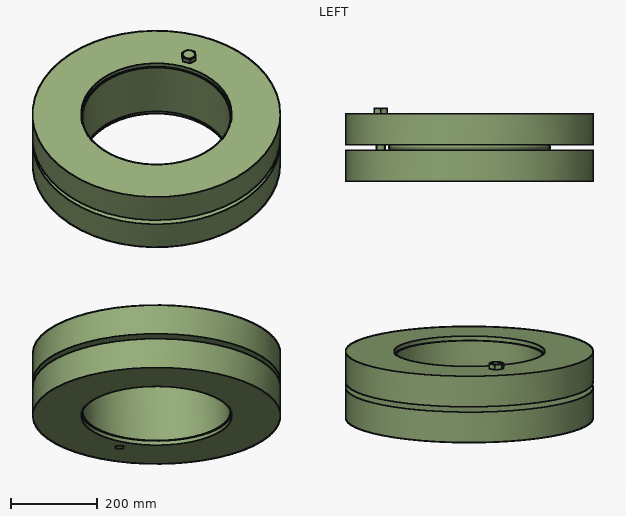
import cadquery as cq
import math

flange_diameter = 570.0
flange_thickness = 72.0
flange_gap = 12.5
flange_bore = 346.5

seal_bore = 340.0
seal_end_recess = 10.0
bead_diameter = 370.5
bead_section_diameter = 22.0

bolt_offset = 204.0
shank_diameter = 20.0
head_across_flats = 30.0
head_height = 12.5
head_top_diameter = 28.0
head_chamfer_angle = 30.0

upper_flange_base = flange_thickness + flange_gap
flange_stack_height = upper_flange_base + flange_thickness
gap_middle = flange_stack_height / 2


def make_seal():
    """Sleeve and bead, revolved as one solid of revolution."""
    sleeve = (
        cq.Workplane("XY")
        .workplane(offset=seal_end_recess)
        .circle(flange_bore / 2)
        .extrude(flange_stack_height - 2 * seal_end_recess)
    )
    bead_center_radius = (bead_diameter - bead_section_diameter) / 2
    bead = (
        cq.Workplane("XZ")
        .center(bead_center_radius, gap_middle)
        .circle(bead_section_diameter / 2)
        .revolve(360, (-bead_center_radius, 0), (-bead_center_radius, 1))
    )
    bore = cq.Workplane("XY").circle(seal_bore / 2).extrude(flange_stack_height)
    return sleeve.union(bead).cut(bore)


def make_bolt():
    """Bolt reaching through both flanges, with a chamfered hexagon head."""
    shank = (
        cq.Workplane("XY")
        .center(0, bolt_offset)
        .circle(shank_diameter / 2)
        .extrude(flange_stack_height)
    )
    across_corners = head_across_flats / math.cos(math.radians(30))
    head = (
        cq.Workplane("XY", origin=(0, bolt_offset, flange_stack_height))
        .polygon(6, across_corners)
        .extrude(head_height)
    )
    chamfer_cone = (
        cq.Workplane("XY", origin=(0, bolt_offset, flange_stack_height + head_height))
        .circle(head_top_diameter / 2)
        .extrude(-head_height, taper=head_chamfer_angle - 90)
    )
    return shank.union(head.intersect(chamfer_cone))


def make_flange(base_height, seal, bolt):
    """Flange ring with a bead groove and a bolt hole that fit their mates."""
    ring = (
        cq.Workplane("XY")
        .workplane(offset=base_height)
        .circle(flange_diameter / 2)
        .circle(flange_bore / 2)
        .extrude(flange_thickness)
    )
    return ring.cut(seal).cut(bolt)


seal = make_seal()
bolt = make_bolt()
flanges = [make_flange(base, seal, bolt) for base in (0, upper_flange_base)]

result = cq.Compound.makeCompound(
    [body.solids().val() for body in [*flanges, seal, bolt]]
)